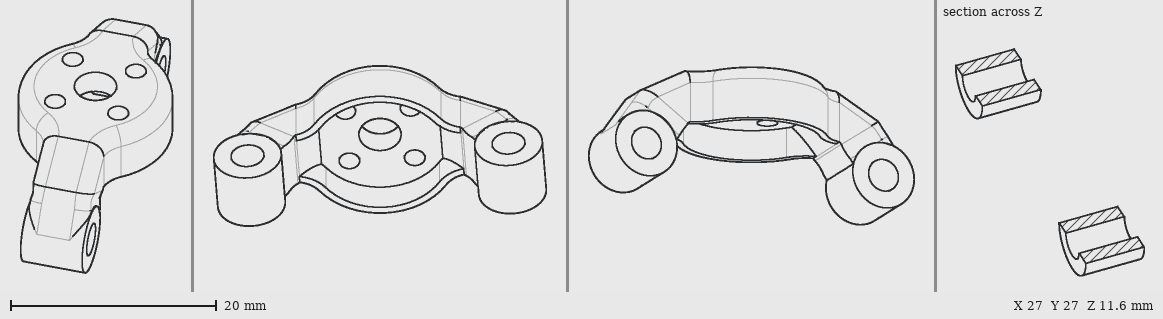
import cadquery as cq
import math

HUB_DIAMETER = 15.0
HUB_THICKNESS = 5.5
CENTRE_HOLE_DIAMETER = 4.1
BOLT_HOLE_DIAMETER = 2.0
BOLT_CIRCLE_RADIUS = 4.5
BOLT_HOLE_COUNT = 4
TOP_ROUND = 1.5

POCKET_WALL = 0.75
POCKET_DEPTH = 3.0

ARM_ANGLES = (-45.0, 135.0)
ARM_WIDTH = 6.1
NECK_RADIUS = 3.0
NECK_END = 8.0
LEG_TILT = 35.0
OVERALL_HEIGHT = 11.6

BARREL_DIAMETER = 6.6
BARREL_LENGTH = 6.2
BARREL_HOLE_DIAMETER = 3.2
BARREL_DISTANCE = 12.7

HOLLOW_LENGTH = 1.65
HOLLOW_DEPTH = 0.15
HOLLOW_ROUND = 1.3
LEG_ROUND = 1.4

hub_radius = HUB_DIAMETER / 2
half_width = ARM_WIDTH / 2
barrel_radius = BARREL_DIAMETER / 2
barrel_height = HUB_THICKNESS - OVERALL_HEIGHT + barrel_radius
tilt = math.radians(LEG_TILT)

bend_height = barrel_height + barrel_radius / math.sin(tilt)
leg_length = barrel_radius / math.tan(tilt)


def hub_blank(inset, height):
    """Prism on the hub outline, moved inwards: a disc with a neck arc on each side of both arms."""
    disc_radius = hub_radius - inset
    neck_radius = NECK_RADIUS + inset
    half = half_width - inset
    corner_distance = math.hypot(NECK_END, half)
    centre_distance = disc_radius + neck_radius
    corner_to_centre = math.acos(
        (corner_distance**2 + centre_distance**2 - neck_radius**2)
        / (2 * corner_distance * centre_distance)
    )
    touch_angle = math.atan2(half, NECK_END) + corner_to_centre
    touch_x = disc_radius * math.cos(touch_angle)
    touch_y = disc_radius * math.sin(touch_angle)
    centre_x = centre_distance * math.cos(touch_angle)
    centre_y = centre_distance * math.sin(touch_angle)
    end_angle = math.atan2(half - centre_y, NECK_END - centre_x)
    middle_angle = (touch_angle - math.pi + end_angle) / 2
    neck_x = centre_x + neck_radius * math.cos(middle_angle)
    neck_y = centre_y + neck_radius * math.sin(middle_angle)
    return (
        cq.Workplane("XY")
        .moveTo(NECK_END, -half)
        .lineTo(NECK_END, half)
        .threePointArc((neck_x, neck_y), (touch_x, touch_y))
        .threePointArc((0, disc_radius), (-touch_x, touch_y))
        .threePointArc((-neck_x, neck_y), (-NECK_END, half))
        .lineTo(-NECK_END, -half)
        .threePointArc((-neck_x, -neck_y), (-touch_x, -touch_y))
        .threePointArc((0, -disc_radius), (touch_x, -touch_y))
        .threePointArc((neck_x, -neck_y), (NECK_END, -half))
        .close()
        .extrude(height)
    )


def make_pocket():
    """Pocket under the hub, its two ends leaning inwards parallel to the legs."""
    ceiling_end = NECK_END - POCKET_DEPTH * math.tan(tilt)
    leaning_ends = (
        cq.Workplane("XZ")
        .moveTo(-NECK_END, 0)
        .lineTo(NECK_END, 0)
        .lineTo(ceiling_end, POCKET_DEPTH)
        .lineTo(-ceiling_end, POCKET_DEPTH)
        .close()
        .extrude(hub_radius, both=True)
    )
    return hub_blank(POCKET_WALL, POCKET_DEPTH).intersect(leaning_ends)


def make_hub():
    """Hub rounded along its curved top edges and hollowed from below."""
    hub = hub_blank(0, HUB_THICKNESS).faces(">Z").edges("%CIRCLE").fillet(TOP_ROUND)
    return hub.cut(make_pocket())


def cross_section(inner, outer, half, corner_round):
    """Arm outline standing on the line from inner to outer (x, z), its outer corners rounded."""
    run = outer[0] - inner[0]
    rise = outer[1] - inner[1]
    depth = math.hypot(run, rise)
    plane = cq.Plane(origin=(inner[0], 0, inner[1]), xDir=(0, 1, 0), normal=(rise, 0, -run))
    shoulder = depth - corner_round
    flat = half - corner_round
    diagonal = corner_round * math.sqrt(0.5)
    outline = (
        cq.Workplane(plane)
        .moveTo(-half, 0)
        .lineTo(half, 0)
        .lineTo(half, shoulder)
        .threePointArc((flat + diagonal, shoulder + diagonal), (flat, depth))
        .lineTo(-flat, depth)
        .threePointArc((-flat - diagonal, shoulder + diagonal), (-half, shoulder))
        .close()
    )
    return outline.val()


def leg_section(distance, half, corner_round):
    """Cross-section square to the leg, as deep as the hub, at a distance down from the bend."""
    outer_x = BARREL_DISTANCE + distance * math.sin(tilt)
    outer_z = bend_height - distance * math.cos(tilt)
    inner = (outer_x - HUB_THICKNESS * math.cos(tilt), outer_z - HUB_THICKNESS * math.sin(tilt))
    outer = (outer_x, outer_z)
    return cross_section(inner, outer, half, corner_round)


def make_arm():
    """Slope, hollow and leg of the arm along +X."""
    root = cross_section((NECK_END, 0), (NECK_END, HUB_THICKNESS), half_width, TOP_ROUND)
    bend = leg_section(0, half_width, TOP_ROUND)
    hollow_middle = leg_section(HOLLOW_LENGTH / 2, half_width - HOLLOW_DEPTH, HOLLOW_ROUND)
    hollow_end = leg_section(HOLLOW_LENGTH, half_width, LEG_ROUND)
    leg_end = leg_section(leg_length, half_width, LEG_ROUND)
    slope = cq.Solid.makeLoft([root, bend], True)
    hollow = cq.Solid.makeLoft([bend, hollow_middle, hollow_end])
    leg = cq.Solid.makeLoft([hollow_end, leg_end], True)
    return cq.Workplane(slope).union(cq.Workplane(hollow)).union(cq.Workplane(leg))


def make_pin(diameter):
    """Cylinder on the barrel axis, as long as the barrel."""
    return (
        cq.Workplane("XZ")
        .center(BARREL_DISTANCE, barrel_height)
        .circle(diameter / 2)
        .extrude(BARREL_LENGTH / 2, both=True)
    )


def make_hub_holes():
    """Centre hole and the ring of bolt holes."""
    bolt_holes = (
        cq.Workplane("XY")
        .polarArray(BOLT_CIRCLE_RADIUS, 0, 360, BOLT_HOLE_COUNT)
        .circle(BOLT_HOLE_DIAMETER / 2)
        .extrude(HUB_THICKNESS)
    )
    centre_hole = cq.Workplane("XY").circle(CENTRE_HOLE_DIAMETER / 2).extrude(HUB_THICKNESS)
    return bolt_holes.union(centre_hole)


def turned(shape, angle):
    """Shape turned about the hub axis."""
    return shape.rotate((0, 0, 0), (0, 0, 1), angle)


arm = make_arm().union(make_pin(BARREL_DIAMETER)).cut(make_pin(BARREL_HOLE_DIAMETER))

result = turned(make_hub(), ARM_ANGLES[0])
for arm_angle in ARM_ANGLES:
    result = result.union(turned(arm, arm_angle))
result = result.cut(make_hub_holes())